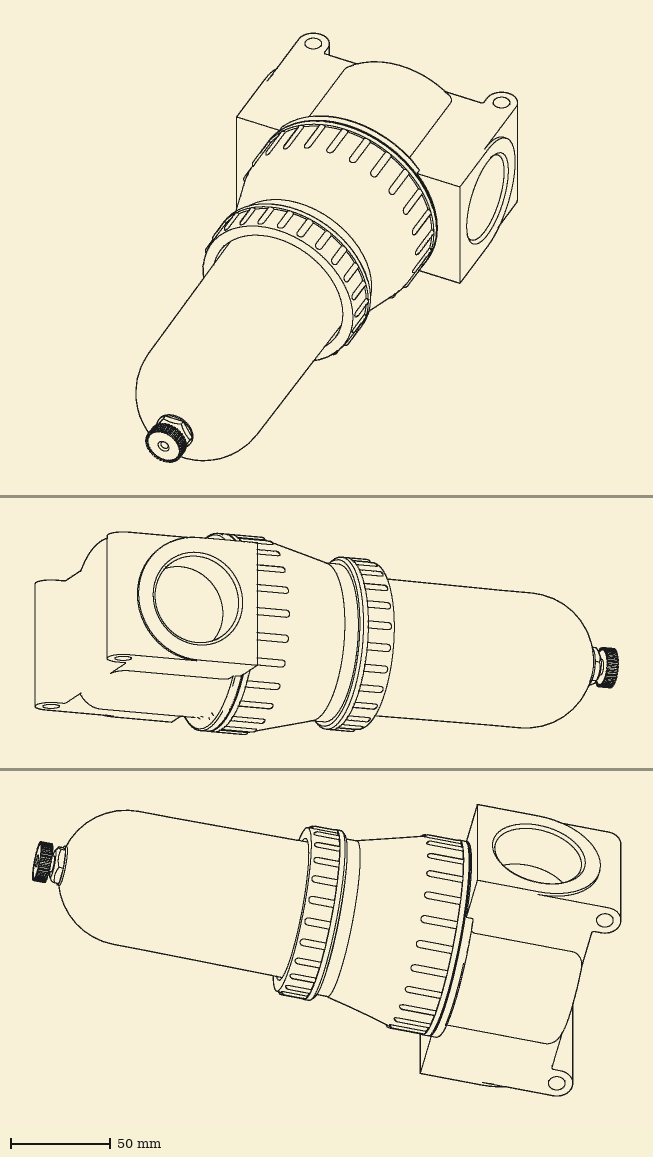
import cadquery as cq
import math


BLOCK_SIZE = 63.7
BLOCK_WIDTH = 121.5
PAD_RISE = 1.7
PORT_DIA = 45.0
PORT_MOUTH_DIA = 48.0
PORT_DEPTH = 24.5
PORT_Y = BLOCK_SIZE / 2

EAR_RADIUS = 8.0
EAR_HOLE_DIA = 8.5
EAR_HOLE_Y = 68.3
EAR_ROOT_FILLET = 1.2
EAR_X = BLOCK_WIDTH / 2 - EAR_RADIUS

HUB_DIA = 87.0
HUB_BACK_Y = BLOCK_SIZE + 0.3
HUB_BACK_FILLET = 7.2
HUB_ROOT_FILLET = 2.5

RING_DIA = 100.0
FLANGE_BACK_Y = 3.8
FLANGE_EDGE_FILLET = 1.0
SEAM_BACK_Y = -0.5
SEAM_WIDTH = 0.5
SEAM_DEPTH = 1.0
RING_LAND_START_Y = -4.0
RING_LAND_END_Y = -21.5
RING_RIB_END_Y = -20.5

CONE_END_Y = -53.5
CONE_END_RADIUS = 40.5
NECK_START_Y = -55.3
NECK_DIA = 80.0

COLLAR_DIA = 87.0
COLLAR_BACK_Y = -62.5
COLLAR_BACK_CHAMFER = 1.5
COLLAR_LAND_START_Y = -66.5
COLLAR_LAND_END_Y = -78.2
COLLAR_RIB_END_Y = -77.5
COLLAR_FRONT_Y = -81.0
COLLAR_FRONT_DIA = 84.0
BOWL_HOLE_DIA = 72.7

RIB_COUNT = 24
RIB_DIA = 4.0
LAND_DEPTH = 1.2

BOWL_MOUTH_RADIUS = 35.0
DOME_START_Y = -167.0
DOME_RADIUS = 34.2

DRAIN_DISC_DIA = 20.0
DRAIN_DISC_FRONT_Y = -200.5
HEX_ACROSS_CORNERS = DRAIN_DISC_DIA
HEX_FRONT_Y = -205.0
HEX_TIP_DIA = 14.0
HEX_CHAMFER_LENGTH = 2.0
STEM_DIA = 8.0
KNOB_DIA = DRAIN_DISC_DIA
KNOB_BACK_Y = -207.3
KNOB_FRONT_Y = -213.0
KNURL_COUNT = 36
KNURL_WIDTH = 1.0
KNURL_DEPTH = 1.2
DRAIN_HOLE_DIA = 4.0
DRAIN_MOUTH_DIA = 6.0


def cylinder_y(radius, y_front, y_back):
    """Cylinder on the filter axis from y_front to y_back."""
    return cq.Workplane("XZ", origin=(0, y_back, 0)).circle(radius).extrude(y_back - y_front)


def revolve_about_y(outline):
    """Turn a closed outline drawn in the XY plane about the Y axis."""
    return outline.close().revolve(360, (0, 0, 0), (0, 1, 0))


def make_block():
    half_height = BLOCK_SIZE / 2
    core = cq.Workplane("XY", origin=(0, PORT_Y, 0)).box(BLOCK_WIDTH, BLOCK_SIZE, BLOCK_SIZE)
    for x in (-EAR_X, EAR_X):
        ear = (
            cq.Workplane("XY", origin=(x, 0, -half_height))
            .moveTo(-EAR_RADIUS, half_height)
            .lineTo(-EAR_RADIUS, EAR_HOLE_Y)
            .threePointArc((0, EAR_HOLE_Y + EAR_RADIUS), (EAR_RADIUS, EAR_HOLE_Y))
            .lineTo(EAR_RADIUS, half_height)
            .close()
            .extrude(BLOCK_SIZE)
        )
        core = core.union(ear)
    root_x = EAR_X - EAR_RADIUS
    for x in (-root_x, root_x):
        root = cq.selectors.NearestToPointSelector((x, BLOCK_SIZE, 0))
        core = core.edges("|Z").edges(root).fillet(EAR_ROOT_FILLET)
    for x in (-EAR_X, EAR_X):
        hole = cq.Workplane("XY", origin=(x, EAR_HOLE_Y, -half_height)).circle(EAR_HOLE_DIA / 2)
        core = core.cut(hole.extrude(BLOCK_SIZE))
    pads = (
        cq.Workplane("YZ", origin=(-BLOCK_WIDTH / 2 - PAD_RISE, 0, 0))
        .moveTo(0, -half_height)
        .lineTo(PORT_Y, -half_height)
        .threePointArc((PORT_Y + half_height, 0), (PORT_Y, half_height))
        .lineTo(0, half_height)
        .close()
        .extrude(BLOCK_WIDTH + 2 * PAD_RISE)
    )
    return core.union(pads)


def make_port(side):
    """Blind port with a chamfered mouth; side is -1 or +1 along X."""
    face_x = BLOCK_WIDTH / 2 + PAD_RISE
    mouth_chamfer = (PORT_MOUTH_DIA - PORT_DIA) / 2
    port = (
        cq.Workplane("XY")
        .moveTo(face_x, 0)
        .lineTo(face_x, PORT_MOUTH_DIA / 2)
        .lineTo(face_x - mouth_chamfer, PORT_DIA / 2)
        .lineTo(face_x - PORT_DEPTH, PORT_DIA / 2)
        .lineTo(face_x - PORT_DEPTH, 0)
        .close()
        .revolve(360, (0, 0, 0), (1, 0, 0))
        .translate((0, PORT_Y, 0))
    )
    return port if side > 0 else port.mirror("YZ")


def make_turned_shell():
    """Hub, flange, ring, cone, neck and collar as one turned shape."""
    hub = HUB_DIA / 2
    ring = RING_DIA / 2
    collar = COLLAR_DIA / 2
    diagonal = 1 - math.sqrt(0.5)
    outline = (
        cq.Workplane("XY")
        .moveTo(0, HUB_BACK_Y)
        .lineTo(hub - HUB_BACK_FILLET, HUB_BACK_Y)
        .threePointArc(
            (hub - HUB_BACK_FILLET * diagonal, HUB_BACK_Y - HUB_BACK_FILLET * diagonal),
            (hub, HUB_BACK_Y - HUB_BACK_FILLET),
        )
        .lineTo(hub, FLANGE_BACK_Y + HUB_ROOT_FILLET)
        .threePointArc(
            (hub + HUB_ROOT_FILLET * diagonal, FLANGE_BACK_Y + HUB_ROOT_FILLET * diagonal),
            (hub + HUB_ROOT_FILLET, FLANGE_BACK_Y),
        )
        .lineTo(ring - FLANGE_EDGE_FILLET, FLANGE_BACK_Y)
        .threePointArc(
            (ring - FLANGE_EDGE_FILLET * diagonal, FLANGE_BACK_Y - FLANGE_EDGE_FILLET * diagonal),
            (ring, FLANGE_BACK_Y - FLANGE_EDGE_FILLET),
        )
        .lineTo(ring, SEAM_BACK_Y)
        .lineTo(ring - SEAM_DEPTH, SEAM_BACK_Y)
        .lineTo(ring - SEAM_DEPTH, SEAM_BACK_Y - SEAM_WIDTH)
        .lineTo(ring, SEAM_BACK_Y - SEAM_WIDTH)
        .lineTo(ring, RING_LAND_START_Y)
        .lineTo(ring - LAND_DEPTH, RING_LAND_START_Y)
        .lineTo(ring - LAND_DEPTH, RING_LAND_END_Y)
        .lineTo(CONE_END_RADIUS, CONE_END_Y)
        .lineTo(NECK_DIA / 2, NECK_START_Y)
        .lineTo(NECK_DIA / 2, COLLAR_BACK_Y)
        .lineTo(collar - COLLAR_BACK_CHAMFER, COLLAR_BACK_Y)
        .lineTo(collar, COLLAR_BACK_Y - COLLAR_BACK_CHAMFER)
        .lineTo(collar, COLLAR_LAND_START_Y)
        .lineTo(collar - LAND_DEPTH, COLLAR_LAND_START_Y)
        .lineTo(collar - LAND_DEPTH, COLLAR_LAND_END_Y)
        .lineTo(COLLAR_FRONT_DIA / 2, COLLAR_FRONT_Y)
        .lineTo(0, COLLAR_FRONT_Y)
    )
    return revolve_about_y(outline)


def make_ribs(crown_radius, y_start, y_end):
    """Evenly spaced round ribs along the axis, each with a ball-shaped front end."""
    rib_radius = RIB_DIA / 2
    centre_radius = crown_radius - rib_radius
    rib = cylinder_y(rib_radius, y_end, y_start).union(
        cq.Workplane("XY", origin=(0, y_end, 0)).sphere(rib_radius)
    ).translate((centre_radius, 0, 0))
    return [
        rib.rotate((0, 0, 0), (0, 1, 0), i * 360 / RIB_COUNT).val() for i in range(RIB_COUNT)
    ]


def make_housing():
    housing = make_turned_shell().union(make_block())
    ribs = make_ribs(RING_DIA / 2, RING_LAND_START_Y, RING_RIB_END_Y)
    ribs += make_ribs(COLLAR_DIA / 2, COLLAR_LAND_START_Y, COLLAR_RIB_END_Y)
    housing = cq.Workplane(housing.val().fuse(*ribs))
    for side in (-1, 1):
        housing = housing.cut(make_port(side))
    return housing.cut(cylinder_y(BOWL_HOLE_DIA / 2, COLLAR_FRONT_Y, COLLAR_BACK_Y))


def make_bowl_shell():
    """Tapered bowl with a ball-shaped tip, seated on the floor of the housing recess."""
    diagonal = DOME_RADIUS * math.sqrt(0.5)
    outline = (
        cq.Workplane("XY")
        .moveTo(0, COLLAR_BACK_Y)
        .lineTo(BOWL_MOUTH_RADIUS, COLLAR_BACK_Y)
        .lineTo(DOME_RADIUS, DOME_START_Y)
        .threePointArc((diagonal, DOME_START_Y - diagonal), (0, DOME_START_Y - DOME_RADIUS))
    )
    return revolve_about_y(outline)


def make_drain_hex():
    """Hexagon with corners on X; its front end is turned down to a cone."""
    corner = HEX_ACROSS_CORNERS / 2
    hexagon = (
        cq.Workplane("XZ", origin=(0, DOME_START_Y, 0))
        .polygon(6, HEX_ACROSS_CORNERS)
        .extrude(DOME_START_Y - HEX_FRONT_Y)
    )
    envelope = revolve_about_y(
        cq.Workplane("XY")
        .moveTo(0, DOME_START_Y)
        .lineTo(corner, DOME_START_Y)
        .lineTo(corner, HEX_FRONT_Y + HEX_CHAMFER_LENGTH)
        .lineTo(HEX_TIP_DIA / 2, HEX_FRONT_Y)
        .lineTo(0, HEX_FRONT_Y)
    )
    return hexagon.intersect(envelope)


def make_knob():
    """Knurled knob with a chamfered blind hole in its front face."""
    knob = cylinder_y(KNOB_DIA / 2, KNOB_FRONT_Y, KNOB_BACK_Y)
    knurls = (
        cq.Workplane("XZ", origin=(0, KNOB_BACK_Y, 0))
        .polarArray(KNOB_DIA / 2, 360 / KNURL_COUNT / 2, 360, KNURL_COUNT)
        .rect(2 * KNURL_DEPTH, KNURL_WIDTH)
        .extrude(KNOB_BACK_Y - KNOB_FRONT_Y)
    )
    mouth_chamfer = (DRAIN_MOUTH_DIA - DRAIN_HOLE_DIA) / 2
    hole = revolve_about_y(
        cq.Workplane("XY")
        .moveTo(0, KNOB_FRONT_Y)
        .lineTo(DRAIN_MOUTH_DIA / 2, KNOB_FRONT_Y)
        .lineTo(DRAIN_HOLE_DIA / 2, KNOB_FRONT_Y + mouth_chamfer)
        .lineTo(DRAIN_HOLE_DIA / 2, KNOB_BACK_Y)
        .lineTo(0, KNOB_BACK_Y)
    )
    return knob.cut(knurls).cut(hole)


def make_bowl():
    stem = cylinder_y(STEM_DIA / 2, KNOB_BACK_Y, HEX_FRONT_Y)
    disc = cylinder_y(DRAIN_DISC_DIA / 2, DRAIN_DISC_FRONT_Y, DOME_START_Y)
    bowl = make_bowl_shell()
    for part in (disc, make_drain_hex(), stem, make_knob()):
        bowl = bowl.union(part)
    return bowl


housing = make_housing()
bowl = make_bowl()

result = cq.Compound.makeCompound([housing.solids().val(), bowl.solids().val()])